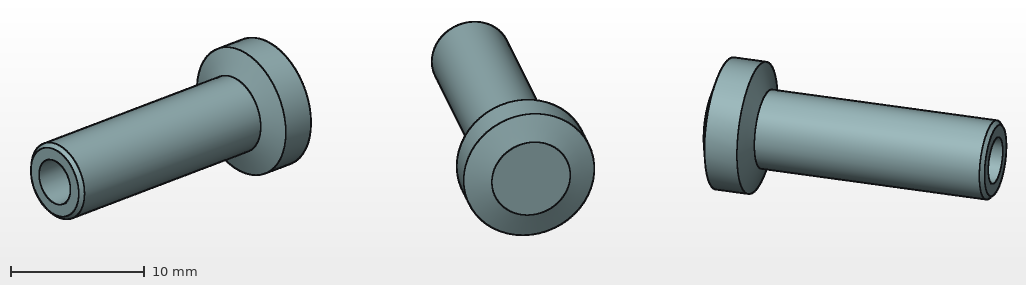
import cadquery as cq
import math

total_length = 22.0
head_diameter = 10.0
head_length = 4.0
head_flat_diameter = 6.0
head_cone_angle = 20.0
shank_diameter = 6.0
tip_chamfer = 0.3
bore_diameter = 3.52
bore_depth = 13.2
drill_point_angle = 118.0

head_radius = head_diameter / 2
head_flat_radius = head_flat_diameter / 2
shank_radius = shank_diameter / 2
bore_radius = bore_diameter / 2
tip_y = -total_length / 2
head_back_y = total_length / 2
head_front_y = head_back_y - head_length
cone_slope = math.tan(math.radians(head_cone_angle))
front_cone_length = (head_radius - shank_radius) * cone_slope
back_cone_length = (head_radius - head_flat_radius) * cone_slope
drill_point_length = bore_radius / math.tan(math.radians(drill_point_angle / 2))
bore_end_y = tip_y + bore_depth


def revolve_about_y(half_profile):
    """Turn a closed (radius, y) outline into a solid about the Y axis."""
    outline = cq.Workplane("XY").polyline(half_profile).close()
    return outline.revolve(360, (0, 0, 0), (0, 1, 0))


body = revolve_about_y([
    (0, tip_y),
    (shank_radius - tip_chamfer, tip_y),
    (shank_radius, tip_y + tip_chamfer),
    (shank_radius, head_front_y),
    (head_radius, head_front_y + front_cone_length),
    (head_radius, head_back_y - back_cone_length),
    (head_flat_radius, head_back_y),
    (0, head_back_y),
])

bore = revolve_about_y([
    (0, tip_y),
    (bore_radius, tip_y),
    (bore_radius, bore_end_y),
    (0, bore_end_y + drill_point_length),
])

result = body.cut(bore)